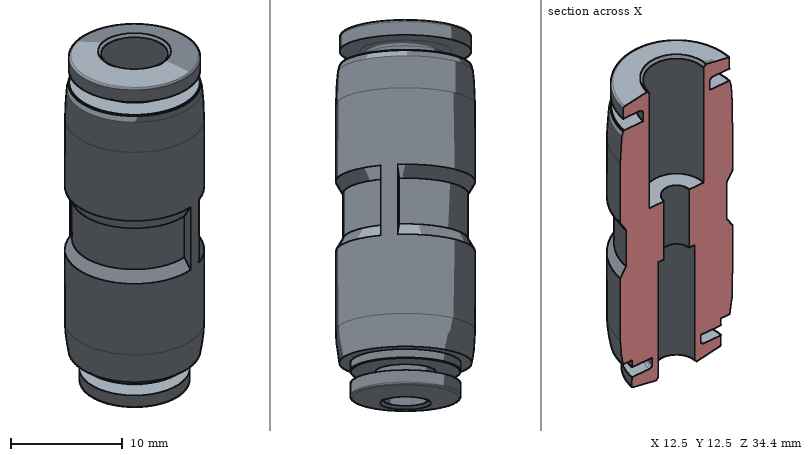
import cadquery as cq
import math

LENGTH = 34.4
BODY_RADIUS = 12.5 / 2

TOP_FLANGE_RADIUS = 11.8 / 2
TOP_STEM_RADIUS = 7.4 / 2
TOP_STEM_FILLET = 0.4
TOP_BORE_RADIUS = 6.0 / 2
TOP_DISHING = 0.48
TOP_FLANGE_BASE = 32.5
BODY_TOP = 31.15
TOP_BEVEL_START = 30.55
TOP_BEVEL_RADIUS = 6.07
TOP_FACE_RADIUS = 11.87 / 2
TOP_FACE_CHAMFER = 0.1
TOP_CROWN_START = 27.55

LOW_FLANGE_RADIUS = 9.9 / 2
LOW_STEM_RADIUS = 5.4 / 2
LOW_STEM_FILLET = 0.35
LOW_BORE_RADIUS = 4.0 / 2
LOW_DISHING = 0.5
LOW_FLANGE_BASE = 1.8
COLLAR_BOTTOM = 2.9
COLLAR_CHAMFER = 0.07
BODY_BOTTOM = 3.7
LOW_FACE_RADIUS = 11.87 / 2
LOW_CROWN_START = 6.7

RIM_ROUND = 0.2
MOUTH_CHAMFER = 0.28

PASSAGE_RADIUS = 2.8 / 2
SOCKET_DEPTH = 13.75

GROOVE_RADIUS = 5.6
GROOVE_CENTER = 17.25
GROOVE_WIDTH = 6.45
GROOVE_FLOOR_WIDTH = 4.23
WEB_THICKNESS = 1.55
CUT_MARGIN = 0.35


def crown_middle(end_radius, start_z, end_z):
    """Middle point of an arc that leaves the body cylinder tangentially."""
    height = end_z - start_z
    drop = BODY_RADIUS - end_radius
    arc_radius = (height**2 + drop**2) / (2 * drop)
    half_angle = math.asin(height / arc_radius) / 2
    radius = BODY_RADIUS - arc_radius * (1 - math.cos(half_angle))
    return radius, start_z + arc_radius * math.sin(half_angle)


def make_body():
    low_middle = crown_middle(LOW_FACE_RADIUS, LOW_CROWN_START, BODY_BOTTOM)
    top_middle = crown_middle(TOP_BEVEL_RADIUS, TOP_CROWN_START, TOP_BEVEL_START)
    profile = (
        cq.Workplane("XZ")
        .moveTo(0, COLLAR_BOTTOM)
        .lineTo(LOW_FLANGE_RADIUS - COLLAR_CHAMFER, COLLAR_BOTTOM)
        .lineTo(LOW_FLANGE_RADIUS, COLLAR_BOTTOM + COLLAR_CHAMFER)
        .lineTo(LOW_FLANGE_RADIUS, BODY_BOTTOM)
        .lineTo(LOW_FACE_RADIUS, BODY_BOTTOM)
        .threePointArc(low_middle, (BODY_RADIUS, LOW_CROWN_START))
        .lineTo(BODY_RADIUS, TOP_CROWN_START)
        .threePointArc(top_middle, (TOP_BEVEL_RADIUS, TOP_BEVEL_START))
        .lineTo(TOP_FACE_RADIUS, BODY_TOP - TOP_FACE_CHAMFER)
        .lineTo(TOP_FACE_RADIUS - TOP_FACE_CHAMFER, BODY_TOP)
        .lineTo(0, BODY_TOP)
        .close()
    )
    return profile.revolve(360, (0, 0, 0), (0, 1, 0))


def make_button(flange_radius, stem_radius, stem_fillet, bore_radius, dishing, end_z, base_z, body_z):
    """Stem, flared into a flange whose end face slopes back from the bore mouth."""
    outward = math.copysign(1, end_z - body_z)
    rim_z = end_z - outward * dishing
    mouth_radius = bore_radius + MOUTH_CHAMFER
    profile = (
        cq.Workplane("XZ")
        .moveTo(0, body_z)
        .lineTo(stem_radius, body_z)
        .lineTo(stem_radius, base_z - outward * stem_fillet)
        .radiusArc((stem_radius + stem_fillet, base_z), outward * stem_fillet)
        .lineTo(flange_radius, base_z)
        .lineTo(flange_radius, rim_z)
        .lineTo(mouth_radius, end_z)
        .lineTo(0, end_z)
        .close()
    )
    button = profile.revolve(360, (0, 0, 0), (0, 1, 0))
    rim_edge = cq.selectors.BoxSelector(
        (-BODY_RADIUS, -BODY_RADIUS, rim_z - RIM_ROUND / 2),
        (BODY_RADIUS, BODY_RADIUS, rim_z + RIM_ROUND / 2),
        boundingbox=True,
    )
    return button.edges(rim_edge).fillet(RIM_ROUND)


def make_groove():
    """Sloped-sided ring cutter, split by a slab that leaves the webs."""
    slope = (GROOVE_WIDTH - GROOVE_FLOOR_WIDTH) / 2 / (BODY_RADIUS - GROOVE_RADIUS)
    outer_radius = BODY_RADIUS + CUT_MARGIN
    half_floor = GROOVE_FLOOR_WIDTH / 2
    half_outer = GROOVE_WIDTH / 2 + slope * CUT_MARGIN
    ring = (
        cq.Workplane("XZ")
        .polyline([
            (GROOVE_RADIUS, GROOVE_CENTER - half_floor),
            (outer_radius, GROOVE_CENTER - half_outer),
            (outer_radius, GROOVE_CENTER + half_outer),
            (GROOVE_RADIUS, GROOVE_CENTER + half_floor),
        ])
        .close()
        .revolve(360, (0, 0, 0), (0, 1, 0))
    )
    webs = cq.Workplane("XY").box(3 * BODY_RADIUS, WEB_THICKNESS, LENGTH)
    return ring.cut(webs.translate((0, 0, GROOVE_CENTER)))


def make_bores():
    """Chamfered socket at each end, joined by the narrower passage."""
    profile = cq.Workplane("XZ").polyline([
        (0, 0),
        (LOW_BORE_RADIUS + MOUTH_CHAMFER, 0),
        (LOW_BORE_RADIUS, MOUTH_CHAMFER),
        (LOW_BORE_RADIUS, SOCKET_DEPTH),
        (PASSAGE_RADIUS, SOCKET_DEPTH),
        (PASSAGE_RADIUS, LENGTH - SOCKET_DEPTH),
        (TOP_BORE_RADIUS, LENGTH - SOCKET_DEPTH),
        (TOP_BORE_RADIUS, LENGTH - MOUTH_CHAMFER),
        (TOP_BORE_RADIUS + MOUTH_CHAMFER, LENGTH),
        (0, LENGTH),
    ]).close()
    return profile.revolve(360, (0, 0, 0), (0, 1, 0))


top_button = make_button(
    TOP_FLANGE_RADIUS, TOP_STEM_RADIUS, TOP_STEM_FILLET, TOP_BORE_RADIUS,
    TOP_DISHING, LENGTH, TOP_FLANGE_BASE, BODY_TOP,
)
low_button = make_button(
    LOW_FLANGE_RADIUS, LOW_STEM_RADIUS, LOW_STEM_FILLET, LOW_BORE_RADIUS,
    LOW_DISHING, 0.0, LOW_FLANGE_BASE, COLLAR_BOTTOM,
)
result = make_body().cut(make_groove()).union(top_button).union(low_button).cut(make_bores())